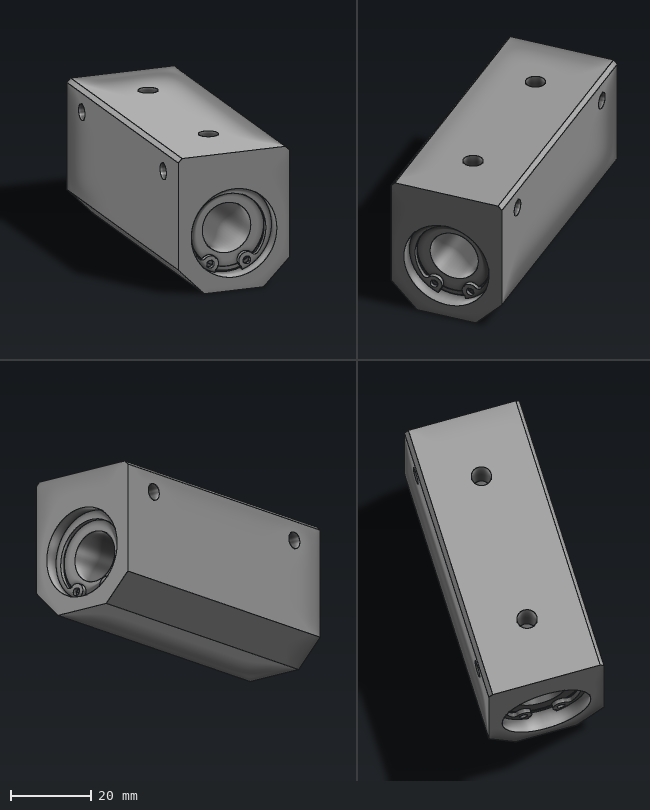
import cadquery as cq
import math

length = 74.0
width = 30.0
height = 36.0
bottom_chamfer = 7.0
top_chamfer = 1.0

bore_z = width / 2
bore_diameter = 23.0
sleeve_recess = 4.7
sleeve_end_diameter = 22.0
sleeve_chamfer = (bore_diameter - sleeve_end_diameter) / 2
seal_diameter = 20.0
seal_recess = 0.2
shaft_diameter = 13.0

ring_thickness = 1.2
ring_inner_diameter = 20.0
ring_inner_drop = 0.7
ring_gap_half_angle = math.radians(18.7)
lug_radius = 2.15
lug_hole_diameter = 2.0
lug_y = 4.9
lug_drop = 8.6
lug_fillet = 1.0

top_hole_diameter = 5.0
top_hole_spacing = 39.95
side_hole_diameter = 4.2
side_hole_spacing = 54.0
side_hole_z = 30.0


def bore_cylinder(diameter, x_start, x_length, drop=0.0, y=0.0):
    """Cylinder along X, placed relative to the bore axis."""
    plane = cq.Plane(origin=(x_start, y, bore_z - drop), xDir=(0, 1, 0), normal=(1, 0, 0))
    return cq.Workplane(plane).circle(diameter / 2).extrude(x_length)


def make_housing():
    block = cq.Workplane("XY").box(length, width, height, centered=(True, True, False))
    block = block.edges("|X and <Z").chamfer(bottom_chamfer)
    block = block.edges("|X and >Z").chamfer(top_chamfer)
    top_holes = (
        cq.Workplane("XY", origin=(0, 0, bore_z))
        .pushPoints([(-top_hole_spacing / 2, 0), (top_hole_spacing / 2, 0)])
        .circle(top_hole_diameter / 2)
        .extrude(height - bore_z)
    )
    side_holes = (
        cq.Workplane("XZ", origin=(0, width / 2, side_hole_z))
        .pushPoints([(-side_hole_spacing / 2, 0), (side_hole_spacing / 2, 0)])
        .circle(side_hole_diameter / 2)
        .extrude(width)
    )
    bore = bore_cylinder(bore_diameter, -length / 2, length)
    return block.cut(top_holes).cut(side_holes).cut(bore)


def make_sleeve():
    sleeve_length = length - 2 * sleeve_recess
    start = -sleeve_length / 2
    sleeve = bore_cylinder(bore_diameter, start, sleeve_length).edges().chamfer(sleeve_chamfer)
    for seal_start in (start, -start - seal_recess):
        sleeve = sleeve.cut(bore_cylinder(seal_diameter, seal_start, seal_recess))
    return sleeve.cut(bore_cylinder(shaft_diameter, start, sleeve_length))


def lug_corner():
    """Outer (y, z) point where the +Y lug circle crosses the ring's inner edge."""
    ring_radius = ring_inner_diameter / 2
    drop_between = lug_drop - ring_inner_drop
    distance = math.hypot(lug_y, drop_between)
    along = (ring_radius**2 - lug_radius**2 + distance**2) / (2 * distance)
    across = math.sqrt(ring_radius**2 - along**2)
    y = (along * lug_y + across * drop_between) / distance
    drop = (along * drop_between - across * lug_y) / distance
    return y, bore_z - ring_inner_drop - drop


def make_ring():
    """Retaining ring at the -X end: eccentric inner edge, gap at the bottom and two lugs."""
    start = -length / 2 + sleeve_recess - ring_thickness
    ring = bore_cylinder(bore_diameter, start, ring_thickness)
    ring = ring.cut(bore_cylinder(ring_inner_diameter, start, ring_thickness, ring_inner_drop))
    gap_half_width = bore_diameter * math.tan(ring_gap_half_angle)
    gap = (
        cq.Workplane("YZ", origin=(start, 0, bore_z))
        .polyline([(0, 0), (-gap_half_width, -bore_diameter), (gap_half_width, -bore_diameter)])
        .close()
        .extrude(ring_thickness)
    )
    ring = ring.cut(gap)
    bore_envelope = bore_cylinder(bore_diameter, start, ring_thickness)
    for y in (-lug_y, lug_y):
        lug = bore_cylinder(2 * lug_radius, start, ring_thickness, lug_drop, y)
        ring = ring.union(lug.intersect(bore_envelope))
        ring = ring.cut(bore_cylinder(lug_hole_diameter, start, ring_thickness, lug_drop, y))
    corner_y, corner_z = lug_corner()
    for y in (-corner_y, corner_y):
        corner = (start + ring_thickness / 2, y, corner_z)
        ring = ring.edges("|X").edges(cq.NearestToPointSelector(corner)).fillet(lug_fillet)
    return ring


near_ring = make_ring()
far_ring = near_ring.mirror("YZ")
result = make_housing().union(make_sleeve()).union(near_ring).union(far_ring)